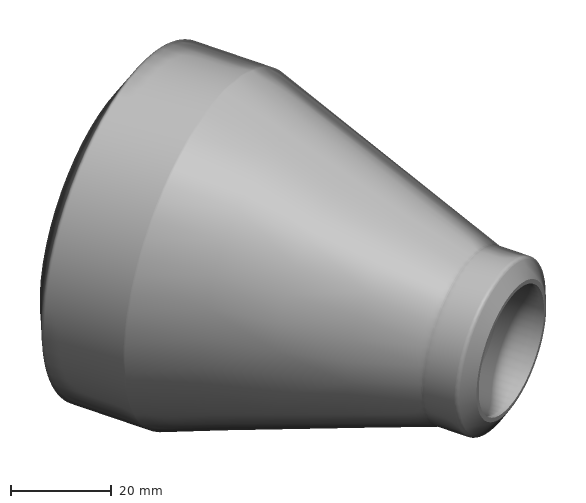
import cadquery as cq

length = 90.0
large_diameter = 76.1
small_diameter = 38.0
large_bore = 56.1
small_bore = 28.0

large_face_diameter = 59.9
large_bevel_length = 4.7
large_collar_end = 23.1

small_face_diameter = 29.9
small_bevel_length = 2.25
small_collar_start = 80.0

outer_edge_radius = 1.0
mouth_chamfer = 0.3

bore_taper_start = 15.0
bore_taper_end = small_collar_start


def revolve_about_x(points):
    """Solid of revolution from (x, radius) points."""
    return cq.Workplane("XY").polyline(points).close().revolve(360, (0, 0, 0), (1, 0, 0))


body = revolve_about_x([
    (0, 0),
    (0, large_face_diameter / 2),
    (large_bevel_length, large_diameter / 2),
    (large_collar_end, large_diameter / 2),
    (small_collar_start, small_diameter / 2),
    (length - small_bevel_length, small_diameter / 2),
    (length, small_face_diameter / 2),
    (length, 0),
])

end_face_edges = body.faces("<X or >X").edges().vals()
circular_edges = body.edges("%CIRCLE").vals()
rounded_edges = [
    edge for edge in circular_edges
    if not any(edge.isSame(end_edge) for end_edge in end_face_edges)
]
body = body.newObject(rounded_edges).fillet(outer_edge_radius)

bore = revolve_about_x([
    (0, 0),
    (0, large_bore / 2 + mouth_chamfer),
    (mouth_chamfer, large_bore / 2),
    (bore_taper_start, large_bore / 2),
    (bore_taper_end, small_bore / 2),
    (length, small_bore / 2),
    (length, 0),
])

result = body.cut(bore)